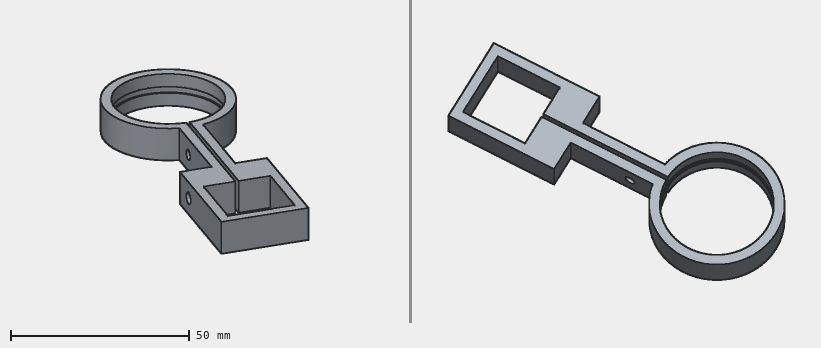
import cadquery as cq

length = 98.0
height = 10.0

ring_diameter = 38.0
wall = 3.0
ring_radius = ring_diameter / 2
bore_radius = ring_radius - wall
groove_height = 2.0
groove_depth = 0.5

frame_end_x = length - ring_radius
frame_length = 34.0
frame_width = 26.0
window_size = 19.9
frame_start_x = frame_end_x - frame_length
window_end_x = frame_end_x - wall
window_start_x = window_end_x - window_size

slot_width = 1.0
arms_width = 2 * wall + slot_width

clamp_hole_diameter = 3.0
clamp_hole_x = frame_start_x - 19.0
screw_hole_diameter = 3.5
screw_hole_x = frame_start_x + 7.1
pilot_diameter = 1.5
pilot_depth = 3.0


def block(start_x, end_x, width):
    """Full-height box between two X positions, centred on Y = 0."""
    return cq.Workplane("XY").box(
        end_x - start_x, width, height, centered=(False, True, False)
    ).translate((start_x, 0, 0))


def cross_hole(x, diameter, start_y, end_y):
    """Cylinder along Y at mid height."""
    return cq.Workplane(
        cq.Solid.makeCylinder(
            diameter / 2, end_y - start_y, cq.Vector(x, start_y, height / 2), cq.Vector(0, 1, 0)
        )
    )


def ring_groove():
    """Disc that cuts a shallow groove around the bore at mid height."""
    return (
        cq.Workplane("XY", origin=(0, 0, (height - groove_height) / 2))
        .circle(bore_radius + groove_depth)
        .extrude(groove_height)
    )


body = cq.Workplane("XY").circle(ring_radius).extrude(height)
body = body.union(block(0, frame_start_x, arms_width))
body = body.union(block(frame_start_x, frame_end_x, frame_width))

body = body.cut(cq.Workplane("XY").circle(bore_radius).extrude(height))
body = body.cut(ring_groove())
body = body.cut(block(window_start_x, window_end_x, window_size))
body = body.cut(block(0, window_start_x, slot_width))

body = body.cut(cross_hole(clamp_hole_x, clamp_hole_diameter, -arms_width / 2, arms_width / 2))

body = body.cut(cross_hole(screw_hole_x, screw_hole_diameter, -frame_width / 2, 0))
body = body.cut(cross_hole(screw_hole_x, pilot_diameter, 0, slot_width / 2 + pilot_depth))

result = body